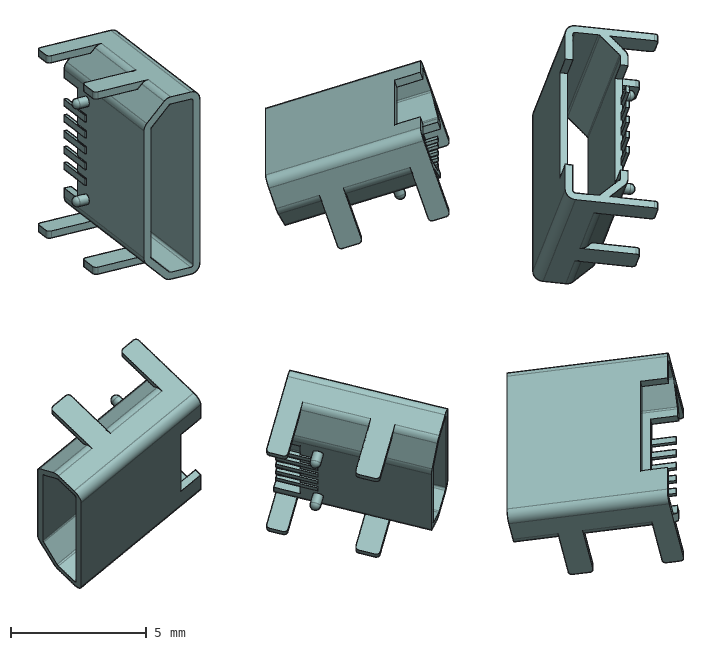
import cadquery as cq
import math


length = 6.0
depth = 3.5
height = 7.45
wall = 0.29
outer_bend = 0.39
shell_depth = 2.36
fold_start = 1.24
back_y = depth
face_y = back_y - shell_depth

notch_length = 1.005
notch_height = 4.5

leg_spans = [(0, 0.805), (3.39, 4.31)]
leg_tip_radius = 0.15

contact_count = 5
contact_pitch = 0.65
contact_width = 0.275
contact_start = 0.09
contact_end = 1.69
contact_thickness = 0.13
contact_projection = 0.06

peg_x = 1.69
peg_spacing = 3.99
peg_radius = 0.2
peg_projection = 0.595


def box(x_range, y_range, z_range):
    (x0, x1), (y0, y1), (z0, z1) = x_range, y_range, z_range
    return cq.Workplane("XY").box(x1 - x0, y1 - y0, z1 - z0, centered=False).translate((x0, y0, z0))


def shell_prism(inset):
    """Shell outline moved inward by inset, with concentric bends and 45 degree slopes."""
    half = height / 2 - inset
    back = back_y - inset
    face = face_y + inset
    setback = math.tan(math.radians(22.5))
    fold_y = back_y - fold_start - outer_bend * setback + inset * setback
    slope_drop = fold_y - face
    return (
        cq.Workplane("YZ")
        .polyline([
            (back, -half), (back, half), (fold_y, half), (face, half - slope_drop),
            (face, slope_drop - half), (fold_y, -half),
        ])
        .close()
        .extrude(length)
        .edges("|X")
        .fillet(outer_bend - inset)
    )


def make_shell():
    shell = shell_prism(0).cut(shell_prism(wall))
    half_notch = notch_height / 2
    return shell.cut(box((0, notch_length), (face_y, back_y), (-half_notch, half_notch)))


def make_leg(x_range, bottom):
    """Flat leg running from the start of the fold to the tip plane."""
    leg = box(x_range, (0, back_y - fold_start), (bottom, bottom + wall))
    return leg.edges("|Z and <Y").fillet(leg_tip_radius)


def make_contact(z):
    front = face_y - contact_projection
    return box(
        (contact_start, contact_end),
        (front, front + contact_thickness),
        (z - contact_width / 2, z + contact_width / 2),
    )


def make_peg(z):
    """Round peg rooted in the front wall, with a hemispherical tip."""
    root_y = face_y + wall / 2
    dome_y = face_y - peg_projection + peg_radius
    shaft = cq.Workplane("XZ", origin=(peg_x, root_y, z)).circle(peg_radius).extrude(root_y - dome_y)
    dome = cq.Workplane("XY").sphere(peg_radius).translate((peg_x, dome_y, z))
    return shaft.union(dome)


result = make_shell()

for span in leg_spans:
    for leg_bottom in (-height / 2, height / 2 - wall):
        result = result.union(make_leg(span, leg_bottom))

for index in range(contact_count):
    contact_z = (index - (contact_count - 1) / 2) * contact_pitch
    result = result.union(make_contact(contact_z))

for peg_z in (-peg_spacing / 2, peg_spacing / 2):
    result = result.union(make_peg(peg_z))